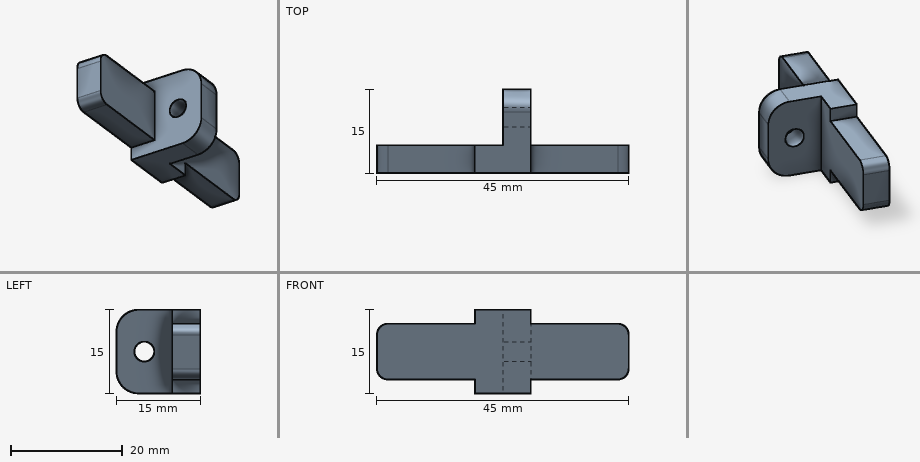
import cadquery as cq

length = 45.0
thickness = length / 9
bar_corner_radius = 2.0
tab_corner_radius = 4.0
hole_diameter = 3.5

bar_height = 2 * thickness
block_width = 2 * thickness
block_height = 3 * thickness
tab_reach = 3 * thickness
hole_y = tab_reach - thickness


def make_bar():
    """Long bar with rounded corners, front face on Y = 0."""
    bar = cq.Workplane("XY").box(length, thickness, bar_height, centered=(True, False, True))
    return bar.edges("|Y").fillet(bar_corner_radius)


def make_block():
    """Center block standing above and below the bar."""
    return cq.Workplane("XY").box(block_width, thickness, block_height, centered=(True, False, True))


def make_tab():
    """Rear tab on the +X half of the block, with rounded rear corners and a cross hole."""
    tab = cq.Workplane("XY").box(thickness, tab_reach, block_height, centered=(False, False, True))
    tab = tab.faces(">Y").edges("|X").fillet(tab_corner_radius)
    hole = cq.Workplane("YZ").center(hole_y, 0).circle(hole_diameter / 2).extrude(thickness)
    return tab.cut(hole)


result = make_bar().union(make_block()).union(make_tab())